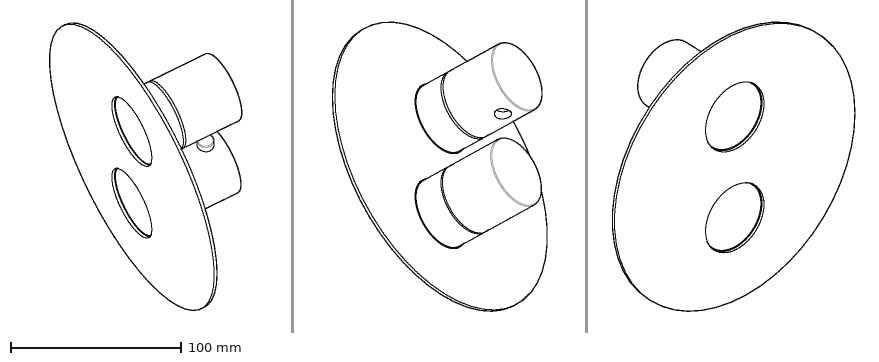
import cadquery as cq

plate_diameter = 185.0
plate_thickness = 2.0
control_spacing = 70.0
hole_diameter = 45.0

control_diameter = 44.0
sleeve_length = 20.0

overall_depth = 62.5
knob_length = 38.8
lower_knob_setback = 0.5

button_diameter = 10.0
button_projection = 4.3
edge_radius = 0.5
socket_depth = 5.5
socket_inset = 11.3

sleeve_start = plate_thickness
upper_knob_end = overall_depth
lower_knob_end = overall_depth - lower_knob_setback
upper_z = control_spacing / 2
lower_z = -upper_z
control_radius = control_diameter / 2


def cylinder_along_y(diameter, start_y, length, z):
    """Cylinder on the axis X = 0 at height z, growing toward +Y."""
    plane = cq.Plane(origin=(0, start_y, z), xDir=(1, 0, 0), normal=(0, 1, 0))
    return cq.Workplane(plane).circle(diameter / 2).extrude(length)


def cylinder_along_z(diameter, y, start_z, length):
    """Cylinder on the axis X = 0 at depth y, growing toward +Z."""
    return cq.Workplane("XY", origin=(0, y, start_z)).circle(diameter / 2).extrude(length)


def make_plate():
    """Round plate with a clearance hole on each control axis."""
    plate = cylinder_along_y(plate_diameter, 0, plate_thickness, 0)
    for z in (upper_z, lower_z):
        plate = plate.cut(cylinder_along_y(hole_diameter, 0, plate_thickness, z))
    return plate


def make_sleeve(z):
    """Plain cylinder starting level with the back of the plate."""
    return cylinder_along_y(control_diameter, sleeve_start, sleeve_length, z)


def make_knob(end_y, z, side):
    """Knob with a blind socket on its +Z side (side = 1) or its -Z side (side = -1)."""
    knob = cylinder_along_y(control_diameter, end_y - knob_length, knob_length, z)
    knob = knob.faces(">Y").fillet(edge_radius)
    socket_floor = z + side * (control_radius - socket_depth)
    socket = cylinder_along_z(button_diameter, end_y - socket_inset, socket_floor, side * control_radius)
    return knob.cut(socket)


def make_button():
    """Round button that fills the lower knob's socket and stands proud of it."""
    floor_z = lower_z + control_radius - socket_depth
    button = cylinder_along_z(
        button_diameter, lower_knob_end - socket_inset, floor_z, socket_depth + button_projection
    )
    return button.faces(">Z").fillet(edge_radius)


plate = make_plate()
sleeves = [make_sleeve(z) for z in (upper_z, lower_z)]
upper_knob = make_knob(upper_knob_end, upper_z, -1)
lower_knob = make_knob(lower_knob_end, lower_z, 1)
button = make_button()

result = cq.Compound.makeCompound(
    [plate.val(), *[sleeve.val() for sleeve in sleeves], upper_knob.val(), lower_knob.val(), button.val()]
)